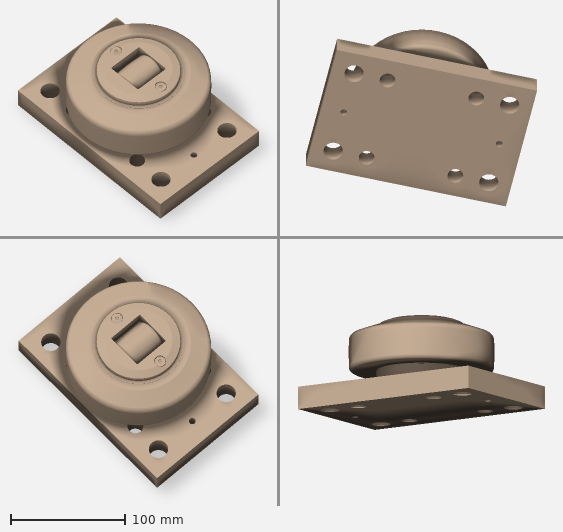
import cadquery as cq
import math

plate_length = 180.0
plate_width = 120.0
plate_height = 20.0
corner_hole_dia = 17.0
inner_hole_dia = 13.9
pin_hole_dia = 6.0
outer_hole_x = 70.0
inner_hole_x = 40.0
hole_y = 40.1

neck_dia = 79.5
ring_dia = 80.0
ring_bottom = 33.3
roller_dia = 127.8
crown_drop = 0.2
roller_bottom = 33.8
bottom_round = 3.5
side_top = 61.4
cone_bottom = 65.9
cone_bottom_radius = 60.8
cone_top = 71.1
cone_top_radius = 46.0
ring_top = 71.5

cap_dia = 74.0
cap_rim_dia = 73.3
cap_rim_bottom = 74.2
cap_rim_top = 75.6
cap_top = 78.1
cap_top_dia = 59.5

screw_x = 28.0
screw_hole_dia = 10.5
screw_head_dia = 9.7
screw_seat = 73.0
screw_top = 77.2
socket_dia = 3.6
socket_depth = 0.7

pocket_side = 34.2
pocket_corner = 1.0
axial_dia = 31.0
axial_length = 33.8
axial_crown_drop = 0.5
axial_end_round = 3.0
total_height = 79.5
axial_axis_height = total_height - axial_dia / 2


def mirrored_points(x, y):
    return [(sx * x, sy * y) for sx in (-1, 1) for sy in (-1, 1)]


def disc(diameter, bottom, top):
    return cq.Workplane("XY").workplane(offset=bottom).circle(diameter / 2).extrude(top - bottom)


def make_plate():
    plate = cq.Workplane("XY").box(plate_length, plate_width, plate_height, centered=(True, True, False))
    hole_patterns = [
        (mirrored_points(outer_hole_x, hole_y), corner_hole_dia),
        (mirrored_points(inner_hole_x, hole_y), inner_hole_dia),
        ([(-outer_hole_x, 0), (outer_hole_x, 0)], pin_hole_dia),
    ]
    for points, diameter in hole_patterns:
        plate = plate.faces(">Z").workplane().pushPoints(points).hole(diameter)
    return plate


def make_main_roller():
    edge_radius = roller_dia / 2 - crown_drop
    side_bottom = roller_bottom + bottom_round
    side_middle = (side_bottom + side_top) / 2
    return (
        cq.Workplane("XZ")
        .moveTo(0, roller_bottom)
        .lineTo(edge_radius - bottom_round, roller_bottom)
        .tangentArcPoint((edge_radius, side_bottom), relative=False)
        .threePointArc((roller_dia / 2, side_middle), (edge_radius, side_top))
        .tangentArcPoint((cone_bottom_radius, cone_bottom), relative=False)
        .lineTo(cone_top_radius, cone_top)
        .lineTo(0, cone_top)
        .close()
        .revolve(360, (0, 0), (0, 1))
    )


def make_cap():
    return (
        cq.Workplane("XZ")
        .moveTo(0, ring_top)
        .lineTo(cap_dia / 2, ring_top)
        .lineTo(cap_dia / 2, cap_rim_bottom)
        .lineTo(cap_rim_dia / 2, cap_rim_top)
        .lineTo(cap_top_dia / 2, cap_top)
        .lineTo(0, cap_top)
        .close()
        .revolve(360, (0, 0), (0, 1))
    )


def add_screw(body, x):
    hole = disc(screw_hole_dia, screw_seat, total_height).translate((x, 0, 0))
    socket = disc(socket_dia, screw_top - socket_depth, screw_top)
    head = disc(screw_head_dia, screw_seat, screw_top).cut(socket).translate((x, 0, 0))
    return body.cut(hole).union(head)


def make_pocket():
    return (
        cq.Workplane("XY").workplane(offset=axial_axis_height)
        .rect(pocket_side, pocket_side)
        .extrude(total_height - axial_axis_height)
        .edges("|Z").fillet(pocket_corner)
    )


def make_axial_roller():
    radius = axial_dia / 2
    edge_radius = radius - axial_crown_drop
    half_length = axial_length / 2
    shoulder = half_length - axial_end_round
    round_mid_y = shoulder + axial_end_round * math.sin(math.pi / 4)
    round_mid_radius = edge_radius - axial_end_round * (1 - math.cos(math.pi / 4))
    end_radius = edge_radius - axial_end_round
    return (
        cq.Workplane("XY")
        .moveTo(0, -half_length)
        .lineTo(end_radius, -half_length)
        .threePointArc((round_mid_radius, -round_mid_y), (edge_radius, -shoulder))
        .threePointArc((radius, 0), (edge_radius, shoulder))
        .threePointArc((round_mid_radius, round_mid_y), (end_radius, half_length))
        .lineTo(0, half_length)
        .close()
        .revolve(360, (0, 0), (0, 1))
        .translate((0, 0, axial_axis_height))
    )


neck = disc(neck_dia, plate_height, ring_bottom)
ring = disc(ring_dia, ring_bottom, ring_top)
body = make_plate().union(neck).union(ring).union(make_main_roller()).union(make_cap())
for x in (-screw_x, screw_x):
    body = add_screw(body, x)
result = body.cut(make_pocket()).union(make_axial_roller())